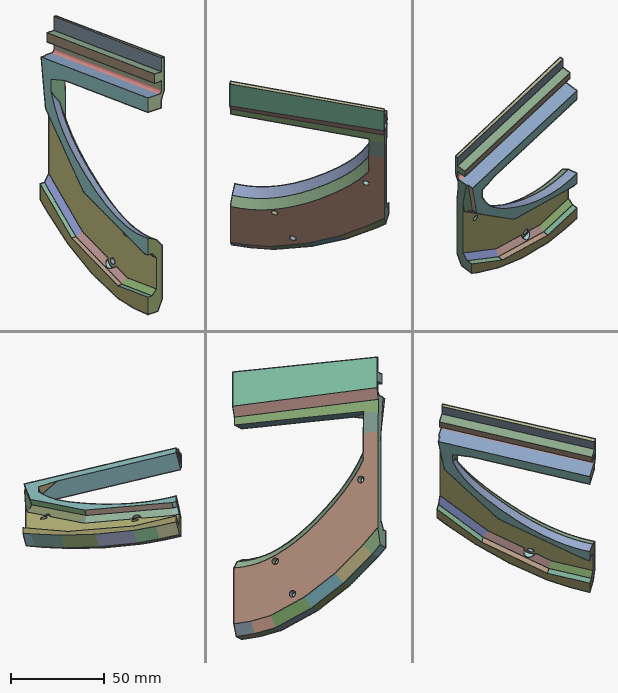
import cadquery as cq
import math

LENGTH = 84.2
DEPTH = 12.03
HEIGHT = 143.76

FLANGE_FRONT = 10.0
FLANGE_BACK_LEFT = 11.6
FLANGE_BEND_LEFT = 127.0
FLANGE_BEND_RIGHT = 125.0
LEDGE_Z = 123.5
LEDGE_FILLET = 2.0
RAIL_DROP = 7.9
RAIL_HEIGHT = 5.3
RAIL_FRONT = 4.9
RAIL_OVERLAP = 1.0

BODY_BACK = 10.5
WAIST_BACK = 9.8
WAIST_TOP_LEFT = 121.0
WAIST_TOP_RIGHT = 119.5
WAIST_BOTTOM = 114.0
WAIST_END = 103.0

BEVEL_DEPTH = 3.2
BEVEL_WIDTH = 6.2

RECESS_RIM = 3.1
RECESS_FLOOR = 6.2
RECESS_WALL_ANGLE = 45.0

HOLE_DIAMETER = 3.5
HEAD_CLEARANCE_DIAMETER = 7.0
HOLE_CENTRES = [(10.0, 78.0), (60.0, 38.3), (50.0, 19.4)]

OVERRUN = 20.0

LOWER_OUTLINE = [
    (0.0, 42.0),
    (4.6, 37.4),
    (21.3, 23.2),
    (40.0, 11.4),
    (61.0, 2.7),
    (73.3, 0.6),
    (LENGTH, 0.0),
]

RECESS_INNER_EDGE = [(4.1, 95.3), (34.0, 55.8), (81.7, 34.0)]
RECESS_INNER_TOP_X = 0.7
RECESS_OUTER_EDGE = [(24.7, 27.0), (60.9, 10.0)]
RECESS_OUTER_START_Z = 51.1

OPENING_TOP = 115.2
OPENING_LEFT = 8.6
OPENING_CORNER_X = 19.0
OPENING_CORNER_Z = 113.0
OPENING_CURVE = [
    (OPENING_LEFT, 106.0),
    (18.4, 85.0),
    (35.2, 66.2),
    (56.6, 50.4),
    (69.8, 45.0),
    (LENGTH, 43.6),
]
DRAFT_DEPTH = 6.2
DRAFT_ANGLE = 21.0
BACK_BEVEL_ANGLE = 45.0


def extend(start, through, x):
    """Point at the given X on the line from start through another point."""
    slope = (through[1] - start[1]) / (through[0] - start[0])
    return (x, start[1] + slope * (x - start[0]))


def plane_at(y):
    """XZ workplane at depth y; a negative extrusion runs towards the back."""
    return cq.Workplane("XZ", origin=(0, y, 0))


def side_profile(x, flange_back, bend_z, waist_top):
    """Closed YZ outline of body and flange at one end of the part."""
    points = [
        (0, 0),
        (0, LEDGE_Z),
        (FLANGE_FRONT, LEDGE_Z),
        (FLANGE_FRONT, HEIGHT),
        (flange_back, HEIGHT),
        (flange_back, bend_z),
        (WAIST_BACK, waist_top),
        (WAIST_BACK, WAIST_BOTTOM),
        (BODY_BACK, WAIST_END),
        (BODY_BACK, 0),
    ]
    return cq.Wire.makePolygon([cq.Vector(x, y, z) for y, z in points], close=True)


def make_blank():
    left = side_profile(0, FLANGE_BACK_LEFT, FLANGE_BEND_LEFT, WAIST_TOP_LEFT)
    right = side_profile(LENGTH, DEPTH, FLANGE_BEND_RIGHT, WAIST_TOP_RIGHT)
    blank = cq.Workplane(cq.Solid.makeLoft([left, right], True))
    corner = cq.selectors.NearestToPointSelector((LENGTH / 2, FLANGE_FRONT, LEDGE_Z))
    blank = blank.edges(corner).fillet(LEDGE_FILLET)
    rail_depth = FLANGE_FRONT - RAIL_FRONT + RAIL_OVERLAP
    rail_bottom = HEIGHT - RAIL_DROP - RAIL_HEIGHT
    rail = cq.Workplane().box(LENGTH, rail_depth, RAIL_HEIGHT, centered=False)
    return blank.union(rail.translate((0, RAIL_FRONT, rail_bottom)))


def make_envelope():
    """Everything above the lower outline, narrowed towards the back by the bevel."""
    right = LENGTH + OVERRUN
    outline = [
        extend(LOWER_OUTLINE[0], LOWER_OUTLINE[1], -OVERRUN),
        *LOWER_OUTLINE[1:],
        (right, 0),
        (right, HEIGHT + OVERRUN),
        (-OVERRUN, HEIGHT + OVERRUN),
    ]
    bevel_start = BODY_BACK - BEVEL_DEPTH
    bevel_angle = math.degrees(math.atan2(BEVEL_WIDTH, BEVEL_DEPTH))
    straight = plane_at(0).polyline(outline).close().extrude(-bevel_start)
    bevelled = plane_at(bevel_start).polyline(outline).close().extrude(-BEVEL_DEPTH, taper=bevel_angle)
    upper = cq.Workplane().box(LENGTH, DEPTH, HEIGHT - WAIST_END, centered=False)
    return straight.union(bevelled).union(upper.translate((0, 0, WAIST_END)))


def make_recess():
    right = LENGTH + OVERRUN
    outer_z = RECESS_OUTER_EDGE[-1][1]
    inner_z = RECESS_INNER_EDGE[-1][1]
    top_z = LEDGE_Z + OVERRUN
    inner_x, inner_start_z = RECESS_INNER_EDGE[0]
    lean = (RECESS_INNER_TOP_X - inner_x) / (LEDGE_Z - inner_start_z)
    outline = [
        extend((0, RECESS_OUTER_START_Z), RECESS_OUTER_EDGE[0], -OVERRUN),
        *RECESS_OUTER_EDGE,
        (right, outer_z),
        (right, inner_z),
        *reversed(RECESS_INNER_EDGE),
        (RECESS_INNER_TOP_X + lean * OVERRUN, top_z),
        (-OVERRUN, top_z),
    ]
    straight = plane_at(0).polyline(outline).close().extrude(-RECESS_RIM)
    sloped = plane_at(RECESS_RIM).polyline(outline).close()
    sloped = sloped.extrude(RECESS_RIM - RECESS_FLOOR, taper=RECESS_WALL_ANGLE)
    return straight.union(sloped)


def trace_opening():
    """Closed outline of the opening on the front face, running out past the right end."""
    right = LENGTH + OVERRUN
    outline = plane_at(0).moveTo(right, OPENING_TOP)
    outline = outline.lineTo(OPENING_CORNER_X, OPENING_TOP)
    outline = outline.lineTo(OPENING_LEFT, OPENING_CORNER_Z)
    outline = outline.lineTo(*OPENING_CURVE[0])
    outline = outline.spline(OPENING_CURVE[1:], includeCurrent=True)
    outline = outline.lineTo(right, OPENING_CURVE[-1][1])
    return outline.close()


def make_opening():
    """Opening that widens towards the back along its curved lower edge only."""
    straight = trace_opening().extrude(-DEPTH)
    drafted = trace_opening().extrude(-DRAFT_DEPTH, taper=-DRAFT_ANGLE)
    bevelled = drafted.faces(">Y").wires().toPending().workplane()
    bevelled = bevelled.extrude(DEPTH - DRAFT_DEPTH, taper=-BACK_BEVEL_ANGLE, combine=False)
    clip = cq.Workplane().box(LENGTH + OVERRUN, DEPTH, OPENING_TOP, centered=False)
    clip = clip.translate((OPENING_LEFT, 0, 0))
    return straight.union(drafted.union(bevelled).intersect(clip))


def make_holes():
    through = plane_at(0).pushPoints(HOLE_CENTRES).circle(HOLE_DIAMETER / 2).extrude(-DEPTH)
    heads = plane_at(0).pushPoints(HOLE_CENTRES).circle(HEAD_CLEARANCE_DIAMETER / 2).extrude(-RECESS_FLOOR)
    return through.union(heads)


result = make_blank().intersect(make_envelope())
result = result.cut(make_recess()).cut(make_opening()).cut(make_holes())